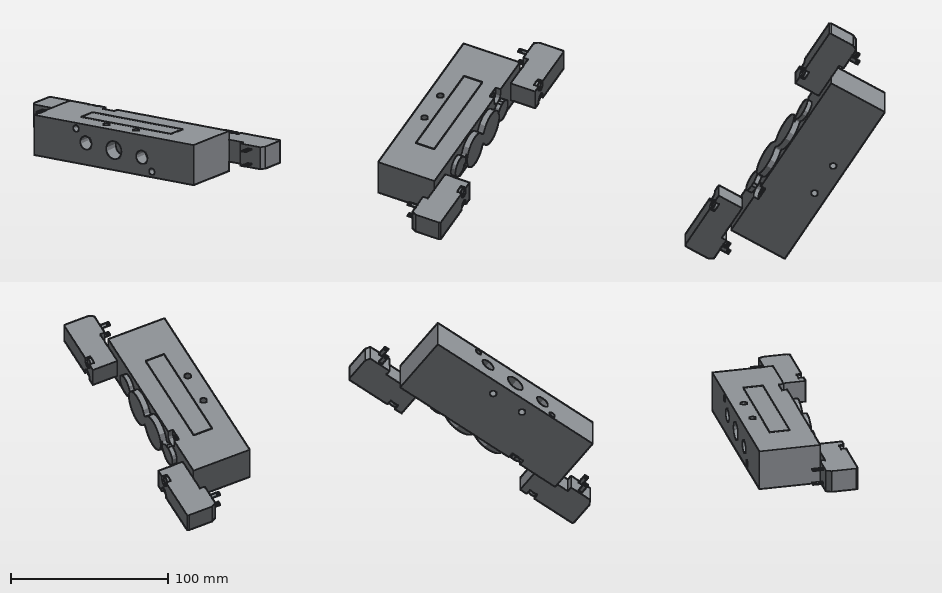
import cadquery as cq
import math


housing_length = 123.0
housing_depth = 40.0
housing_height = 26.5

centre_port_diameter = 11.8
side_port_diameter = 8.7
side_port_x = 21.5
side_port_z = 1.2
port_depth = 10.7

mount_hole_diameter = 4.3
mount_x = 29.2
mount_spacing_z = 19.0
mount_z = mount_spacing_z / 2
counterbore_diameter = 8.7
counterbore_depth = 3.4

cross_hole_diameter = 4.3
cross_hole_x = 11.4
cross_hole_y = -31.7

label_length = 69.3
label_width = 13.0
label_thickness = 0.5
label_rear_y = -13.4

big_lobe_diameter = 23.0
big_lobe_radius = big_lobe_diameter / 2
big_lobe_height = 4.3
small_lobe_radius = 7.0
small_lobe_x = 30.8
small_lobe_z = 1.5
small_lobe_height = 3.2
blend_radius = 1.5

overall_length = 178.2
solenoid_inner_x = 47.0
solenoid_step_x = 72.0
solenoid_rear_y = 17.8
solenoid_gap = 0.5
solenoid_foot_y = -2.9
solenoid_height = 14.6
foot_chamfer_x = 1.8
foot_chamfer_y = 3.2
rear_chamfer_x = 0.5
rear_chamfer_y = 1.2

screw_x = 55.2
screw_z = 4.8
screw_head_diameter = 5.9
screw_head_length = 2.1
screw_slot_depth = 3.4

blade_x = 79.3
blade_z = 4.8
blade_width = 2.9
blade_thickness = 0.5
blade_tip_y = -9.6
blade_hole_diameter = 1.0
blade_hole_y = -8.2


def y_cylinder(x, z, radius, y_start, y_end):
    """Cylinder along Y between two Y positions."""
    return cq.Workplane("XZ", origin=(x, y_start, z)).circle(radius).extrude(y_start - y_end)


def open_slot(x, z, radius, y_start, y_end, end):
    """Round-bottomed slot along Y, open upward (end = 1) or downward (end = -1)."""
    length = y_end - y_start
    opening = cq.Workplane("XY").box(2 * radius, length, housing_height).translate(
        (x, y_start + length / 2, z + end * housing_height / 2)
    )
    return y_cylinder(x, z, radius, y_start, y_end).union(opening)


def counterbore(side):
    """Slot around a mounting hole, open to the nearer long side of the housing."""
    return open_slot(
        side * mount_x, -side * mount_z, counterbore_diameter / 2, -counterbore_depth, big_lobe_height, -side
    )


def make_label():
    """Flat label, flush with the top of the housing."""
    return cq.Workplane("XY").box(label_length, label_width, label_thickness).translate(
        (0, label_rear_y - label_width / 2, housing_height / 2 - label_thickness / 2)
    )


def make_housing(label):
    """Block with front ports, mounting holes, cross holes and a recess for the label."""
    body = cq.Workplane("XY").box(housing_length, housing_depth, housing_height).translate(
        (0, -housing_depth / 2, 0)
    )
    front_y = -housing_depth
    port_end_y = front_y + port_depth
    body = body.cut(y_cylinder(0, 0, centre_port_diameter / 2, front_y, port_end_y))
    for side in (-1, 1):
        body = body.cut(
            y_cylinder(side * side_port_x, -side * side_port_z, side_port_diameter / 2, front_y, port_end_y)
        )
        body = body.cut(y_cylinder(side * mount_x, -side * mount_z, mount_hole_diameter / 2, front_y, 0))
        body = body.cut(counterbore(side))
        body = body.cut(
            cq.Workplane("XY", origin=(side * cross_hole_x, cross_hole_y, -housing_height / 2))
            .circle(cross_hole_diameter / 2)
            .extrude(housing_height)
        )
    return body.cut(label)


def blend(start, start_radius, end, end_radius, height):
    """Web between two neighbouring round lobes, its flanks tangent to both."""
    span_x = end[0] - start[0]
    span_z = end[1] - start[1]
    span = math.hypot(span_x, span_z)
    tilt = math.atan2(span_z, span_x)
    start_reach = start_radius + blend_radius
    end_reach = end_radius + blend_radius
    angle = math.acos((start_reach**2 + span**2 - end_reach**2) / (2 * start_reach * span))
    centres = []
    for turn in (angle, -angle):
        centres.append(
            (start[0] + start_reach * math.cos(tilt + turn), start[1] + start_reach * math.sin(tilt + turn))
        )
    web = cq.Workplane("XZ").polyline([start, centres[0], end, centres[1]]).close().extrude(-height)
    for x, z in centres:
        web = web.cut(y_cylinder(x, z, blend_radius, 0, height))
    return web


def make_seal_plate():
    """Two big and two small round lobes joined in a row, cleared for the mounting screws."""
    big_left, big_right = (-big_lobe_radius, 0), (big_lobe_radius, 0)
    plate = blend(big_left, big_lobe_radius, big_right, big_lobe_radius, big_lobe_height)
    for side in (-1, 1):
        big = (side * big_lobe_radius, 0)
        small = (side * small_lobe_x, side * small_lobe_z)
        plate = plate.union(y_cylinder(*big, big_lobe_radius, 0, big_lobe_height))
        plate = plate.union(y_cylinder(*small, small_lobe_radius, 0, small_lobe_height))
        plate = plate.union(blend(small, small_lobe_radius, big, big_lobe_radius, small_lobe_height))
    for side in (-1, 1):
        plate = plate.cut(counterbore(side))
    return plate


def make_solenoid(side):
    """Solenoid with two screw heads and two contact blades, at +X (side = 1) or -X (side = -1)."""
    outer_x = overall_length / 2
    outline = [
        (solenoid_inner_x, solenoid_gap),
        (solenoid_step_x, solenoid_gap),
        (solenoid_step_x, solenoid_foot_y),
        (outer_x - foot_chamfer_x, solenoid_foot_y),
        (outer_x, solenoid_foot_y + foot_chamfer_y),
        (outer_x, solenoid_rear_y - rear_chamfer_y),
        (outer_x - rear_chamfer_x, solenoid_rear_y),
        (solenoid_inner_x, solenoid_rear_y),
    ]
    bottom_z = -solenoid_height / 2
    body = cq.Workplane("XY", origin=(0, 0, bottom_z)).polyline(outline).close().extrude(solenoid_height)
    screw_radius = screw_head_diameter / 2
    slot_floor_y = solenoid_rear_y - screw_slot_depth
    head_end_y = slot_floor_y + screw_head_length
    for end in (-1, 1):
        z = end * screw_z
        body = body.cut(open_slot(screw_x, z, screw_radius, slot_floor_y, solenoid_rear_y, end))
        body = body.union(y_cylinder(screw_x, z, screw_radius, slot_floor_y, head_end_y))
    blade_length = solenoid_foot_y - blade_tip_y
    for z in (-blade_z, blade_z):
        blade = (
            cq.Workplane("XY")
            .box(blade_width, blade_length, blade_thickness)
            .translate((blade_x, blade_tip_y + blade_length / 2, z))
        )
        hole = (
            cq.Workplane("XY", origin=(blade_x, blade_hole_y, z - blade_thickness / 2))
            .circle(blade_hole_diameter / 2)
            .extrude(blade_thickness)
        )
        body = body.union(blade.cut(hole))
    if side < 0:
        body = body.mirror("YZ")
    return body


label = make_label()
housing = make_housing(label)
seal_plate = make_seal_plate()
solenoids = [make_solenoid(side) for side in (-1, 1)]

result = cq.Compound.makeCompound(
    [housing.val(), label.val(), seal_plate.val(), *[solenoid.val() for solenoid in solenoids]]
)